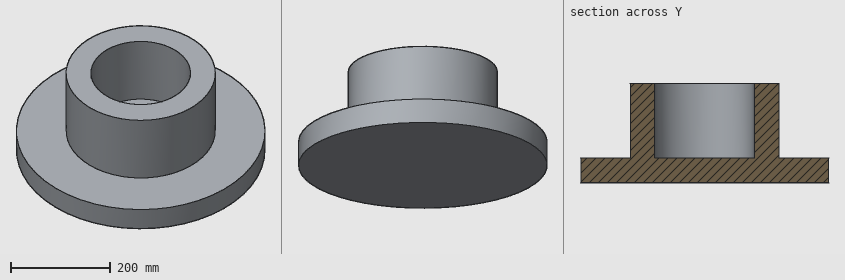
import cadquery as cq

flange_diameter = 500.0
flange_thickness = 50.0
hub_diameter = 300.0
total_height = 200.0
bore_diameter = 200.0

hub_height = total_height - flange_thickness
bore_depth = hub_height

flange = cq.Workplane("XY").circle(flange_diameter / 2).extrude(flange_thickness)

flanged_hub = flange.faces(">Z").workplane().circle(hub_diameter / 2).extrude(hub_height)

result = flanged_hub.faces(">Z").workplane().hole(bore_diameter, bore_depth)